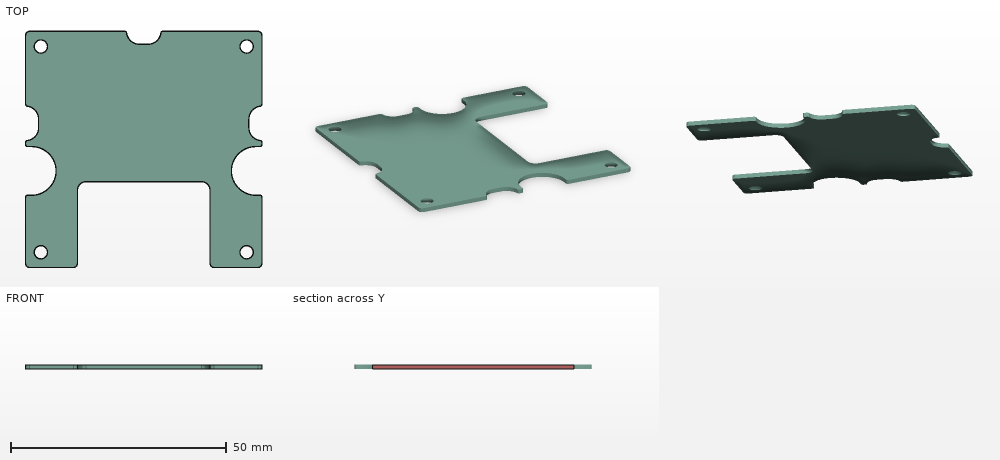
import cadquery as cq

side = 55.0
thickness = 1.0
corner_radius = 1.0
half = side / 2

hole_diameter = 3.0
hole_inset = 3.6

notch_width = 8.0
notch_depth = 3.0
notch_radius = 2.95
side_notch_y = 6.05

round_notch_diameter = 11.3
round_notch_depth = 7.1
round_notch_y = -5.0

mouth_radius = 0.5

opening_width = 30.8
opening_top_y = -7.55
opening_radius = 2.0


def shallow_notch(x, y):
    """Rounded block centred on the plate edge at (x, y), reaching notch_depth into the plate."""
    along_y = abs(x) > abs(y)
    size = (2 * notch_depth, notch_width) if along_y else (notch_width, 2 * notch_depth)
    block = cq.Workplane().box(*size, thickness, centered=(True, True, False))
    return block.edges("|Z").fillet(notch_radius).translate((x, y, 0))


def round_notch(direction):
    """Slot with a semicircular inner end, entering from the X edge on the given side."""
    slot_length = 2 * round_notch_depth
    slot = cq.Workplane().center(direction * half, round_notch_y).slot2D(slot_length, round_notch_diameter)
    return slot.extrude(thickness)


def round_corners(body, points, radius):
    """Round the upright edges standing at the given points."""
    reach = 0.05
    for x, y in points:
        selector = cq.selectors.BoxSelector(
            (x - reach, y - reach, 0), (x + reach, y + reach, thickness))
        body = body.edges("|Z").edges(selector).fillet(radius)
    return body


plate = cq.Workplane().box(side, side, thickness, centered=(True, True, False))

opening_height = opening_top_y + half
opening_center_y = opening_top_y - opening_height / 2
opening = (
    cq.Workplane()
    .center(0, opening_center_y)
    .rect(opening_width, opening_height)
    .extrude(thickness)
    .edges("|Z and >Y")
    .fillet(opening_radius)
)
plate = plate.cut(opening)

plate = plate.cut(shallow_notch(0, half))
for direction in (-1, 1):
    plate = plate.cut(shallow_notch(direction * half, side_notch_y))
    plate = plate.cut(round_notch(direction))

outer_corners = [(x, y) for x in (-half, half) for y in (-half, half)]
outer_corners += [(x, -half) for x in (-opening_width / 2, opening_width / 2)]
plate = round_corners(plate, outer_corners, corner_radius)

mouths = [(sign * notch_width / 2, half) for sign in (-1, 1)]
for edge_x in (-half, half):
    for sign in (-1, 1):
        mouths.append((edge_x, side_notch_y + sign * notch_width / 2))
        mouths.append((edge_x, round_notch_y + sign * round_notch_diameter / 2))
plate = round_corners(plate, mouths, mouth_radius)

hole_spacing = side - 2 * hole_inset
holes = (
    cq.Workplane()
    .rect(hole_spacing, hole_spacing, forConstruction=True)
    .vertices()
    .circle(hole_diameter / 2)
    .extrude(thickness)
)
result = plate.cut(holes)